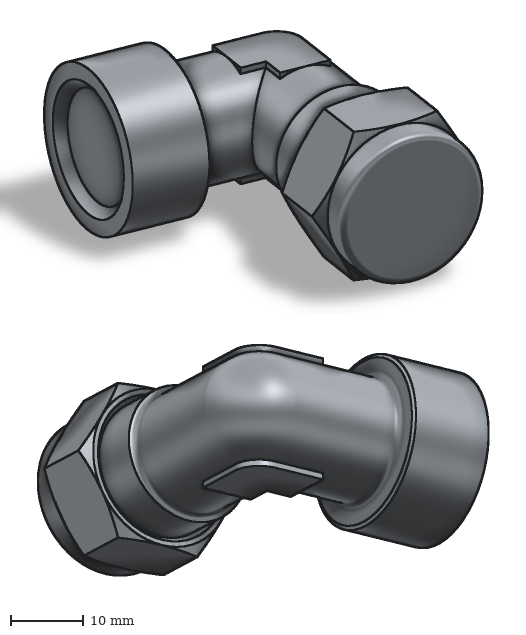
import cadquery as cq
import math


ARM_RADIUS = 9.0
SHOULDER_POSITION = 17.47
NECK_FILLET = 0.97

CHAMFER_SLOPE = math.tan(math.radians(30))

SOCKET_RADIUS = 12.5
SOCKET_END = 30.0
SOCKET_CHAMFER_WIDTH = 0.55
SOCKET_MOUTH_RADIUS = 10.0
SOCKET_FLOOR_RADIUS = 8.5
SOCKET_DEPTH = SOCKET_MOUTH_RADIUS - SOCKET_FLOOR_RADIUS

SPIGOT_RADIUS = ARM_RADIUS + NECK_FILLET
NUT_START = 24.0
NUT_END = 34.5
NUT_SIDES = 6
NUT_ACROSS_FLATS = 23.0
NUT_COUNTERSINK_RADIUS = 10.7
NUT_COUNTERSINK_DEPTH = NUT_COUNTERSINK_RADIUS - SPIGOT_RADIUS
COLLAR_RADIUS = 11.4
COLLAR_END = 38.5
COLLAR_FILLET = 1.0

PAD_EDGE = 4.0
PAD_REACH = 8.0

SOCKET_PLANE = cq.Plane(origin=(0, 0, 0), xDir=(1, 0, 0), normal=(0, 0, -1))
NUT_PLANE = cq.Plane(origin=(0, 0, 0), xDir=(0, 1, 0), normal=(0, 0, -1))


def revolve_about_arm(profile):
    """Close a half profile and revolve it about the local Y axis of its plane."""
    return profile.close().revolve(360, (0, 0), (0, 1))


def make_neck(plane):
    """Round arm that flares through a concave fillet up to its shoulder."""
    fillet_start = SHOULDER_POSITION - NECK_FILLET
    fillet_top = ARM_RADIUS + NECK_FILLET
    arc_reach = NECK_FILLET * math.sin(math.radians(45))
    arc_middle = (fillet_top - arc_reach, fillet_start + arc_reach)
    profile = (
        cq.Workplane(plane)
        .lineTo(ARM_RADIUS, 0)
        .lineTo(ARM_RADIUS, fillet_start)
        .threePointArc(arc_middle, (fillet_top, SHOULDER_POSITION))
        .lineTo(0, SHOULDER_POSITION)
    )
    return revolve_about_arm(profile)


def make_socket():
    """Socket with a chamfered back rim and a countersunk mouth."""
    chamfer_length = SOCKET_CHAMFER_WIDTH * CHAMFER_SLOPE
    profile = (
        cq.Workplane(SOCKET_PLANE)
        .moveTo(0, SHOULDER_POSITION)
        .lineTo(SOCKET_RADIUS - SOCKET_CHAMFER_WIDTH, SHOULDER_POSITION)
        .lineTo(SOCKET_RADIUS, SHOULDER_POSITION + chamfer_length)
        .lineTo(SOCKET_RADIUS, SOCKET_END)
        .lineTo(SOCKET_MOUTH_RADIUS, SOCKET_END)
        .lineTo(SOCKET_FLOOR_RADIUS, SOCKET_END - SOCKET_DEPTH)
        .lineTo(0, SOCKET_END - SOCKET_DEPTH)
    )
    return revolve_about_arm(profile)


def make_spigot():
    """Plain cylinder from the +X shoulder through the nut."""
    return (
        cq.Workplane("YZ", origin=(SHOULDER_POSITION, 0, 0))
        .circle(SPIGOT_RADIUS)
        .extrude(NUT_END - SHOULDER_POSITION)
    )


def make_nut():
    """Hexagon nut with flats facing +Z and -Z, chamfered, with a countersunk back."""
    flat_radius = NUT_ACROSS_FLATS / 2
    corner_radius = flat_radius / math.cos(math.pi / NUT_SIDES)
    back_chamfer = (corner_radius - flat_radius) * CHAMFER_SLOPE
    front_chamfer = (corner_radius - COLLAR_RADIUS) * CHAMFER_SLOPE
    hexagon = (
        cq.Workplane("YZ", origin=(NUT_START, 0, 0))
        .polygon(NUT_SIDES, 2 * corner_radius)
        .extrude(NUT_END - NUT_START)
    )
    envelope_profile = (
        cq.Workplane(NUT_PLANE)
        .moveTo(0, NUT_START + NUT_COUNTERSINK_DEPTH)
        .lineTo(SPIGOT_RADIUS, NUT_START + NUT_COUNTERSINK_DEPTH)
        .lineTo(NUT_COUNTERSINK_RADIUS, NUT_START)
        .lineTo(flat_radius, NUT_START)
        .lineTo(corner_radius, NUT_START + back_chamfer)
        .lineTo(corner_radius, NUT_END - front_chamfer)
        .lineTo(COLLAR_RADIUS, NUT_END)
        .lineTo(0, NUT_END)
    )
    return hexagon.intersect(revolve_about_arm(envelope_profile))


def make_collar():
    """Round collar beyond the nut with a rounded end rim."""
    return (
        cq.Workplane("YZ", origin=(NUT_END, 0, 0))
        .circle(COLLAR_RADIUS)
        .extrude(COLLAR_END - NUT_END)
        .faces(">X")
        .edges()
        .fillet(COLLAR_FILLET)
    )


def make_pads():
    """L-shaped block whose top and bottom faces are the pads, tangent to the arms."""
    return (
        cq.Workplane("XY", origin=(0, 0, -ARM_RADIUS))
        .moveTo(0, PAD_EDGE)
        .lineTo(PAD_REACH, PAD_EDGE)
        .lineTo(PAD_REACH, -PAD_EDGE)
        .lineTo(PAD_EDGE, -PAD_EDGE)
        .lineTo(PAD_EDGE, -PAD_REACH)
        .lineTo(-PAD_EDGE, -PAD_REACH)
        .lineTo(-PAD_EDGE, 0)
        .radiusArc((0, PAD_EDGE), PAD_EDGE)
        .close()
        .extrude(2 * ARM_RADIUS)
    )


outer_corner = cq.Workplane("XY").sphere(ARM_RADIUS)
socket_arm = make_neck(SOCKET_PLANE).union(make_socket())
nut_arm = make_neck(NUT_PLANE).union(make_spigot()).union(make_nut()).union(make_collar())
result = outer_corner.union(socket_arm).union(nut_arm).union(make_pads())